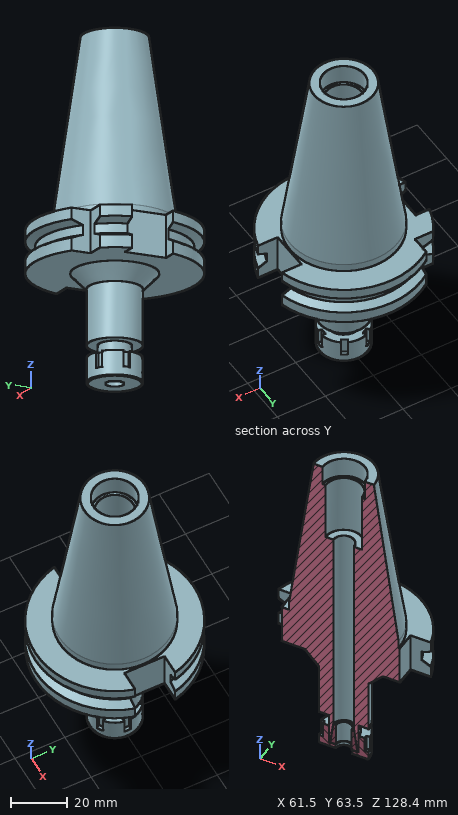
import cadquery as cq
import math


total_height = 128.4
flange_diameter = 63.5

taper_length = 68.5
taper_ratio = 7 / 24
gauge_diameter = 44.4
small_end_diameter = gauge_diameter - taper_length * taper_ratio
gauge_land = 3.2

flange_thickness = 15.9
groove_start = 4.2
groove_width = 6.9
groove_flank_height = 1.7
groove_floor_diameter = 56.5

drive_slot_width = 16.0
left_slot_floor = 25.0
right_slot_floor = 22.6
notch_x = 18.4
notch_y = 18.4

body_diameter = 20.0
cone_height = 5.8
cone_top_diameter = body_diameter + 2 * cone_height
body_length = 20.9
neck_diameter = 12.2
neck_gap = 4.6

nut_diameter = 20.0
nut_chamfer = 0.4
nut_lip = 1.9
nut_slot_count = 6
nut_slot_width = 2.6
nut_slot_length = 5.9
nut_slot_floor = 8.5

entry_bore_diameter = 17.0
entry_bore_depth = 8.0
stud_bore_diameter = 14.6
stud_bore_depth = 32.0
through_bore_diameter = 8.2

collet_length = 9.0
collet_half_angle = 8.0
collet_bore_diameter = 6.2
nut_opening_diameter = 6.7

flange_top = -gauge_land
flange_bottom = flange_top - flange_thickness
cone_bottom = flange_bottom - cone_height
body_bottom = cone_bottom - body_length
nut_top = body_bottom - neck_gap
nut_bottom = taper_length - total_height
neck_bottom = nut_bottom + nut_lip
collet_top = neck_bottom + collet_length

collet_top_diameter = through_bore_diameter
collet_bottom_diameter = collet_top_diameter + 2 * collet_length * math.tan(math.radians(collet_half_angle))


def cylinder(diameter, bottom, top):
    return cq.Workplane("XY").workplane(offset=bottom).circle(diameter / 2).extrude(top - bottom)


def turned(profile):
    """Revolve (diameter, height) points, closed along the axis, about Z."""
    points = [(diameter / 2, height) for diameter, height in profile]
    points = [(0, points[0][1])] + points + [(0, points[-1][1])]
    return cq.Workplane("XZ").polyline(points).close().revolve(360, (0, 0, 0), (0, 1, 0))


def box(x_min, x_max, y_min, y_max, z_min, z_max):
    size = (x_max - x_min, y_max - y_min, z_max - z_min)
    return cq.Workplane("XY").box(*size, centered=False).translate((x_min, y_min, z_min))


def make_flange_cuts():
    """Two unequal drive slots on the X axis and a corner notch, through the full flange."""
    rim = flange_diameter / 2
    half_width = drive_slot_width / 2
    left_slot = box(-rim, -left_slot_floor, -half_width, half_width, flange_bottom, flange_top)
    right_slot = box(right_slot_floor, rim, -half_width, half_width, flange_bottom, flange_top)
    notch = box(-rim, -notch_x, notch_y, rim, flange_bottom, flange_top)
    return left_slot.union(right_slot).union(notch)


def make_collet_envelope():
    return turned([(collet_bottom_diameter, neck_bottom), (collet_top_diameter, collet_top)])


def make_holder():
    groove_top = flange_top - groove_start
    groove_bottom = groove_top - groove_width
    outside = turned([
        (small_end_diameter, taper_length),
        (gauge_diameter, 0),
        (gauge_diameter, flange_top),
        (flange_diameter, flange_top),
        (flange_diameter, groove_top),
        (groove_floor_diameter, groove_top - groove_flank_height),
        (groove_floor_diameter, groove_bottom + groove_flank_height),
        (flange_diameter, groove_bottom),
        (flange_diameter, flange_bottom),
        (cone_top_diameter, flange_bottom),
        (body_diameter, cone_bottom),
        (body_diameter, body_bottom),
        (neck_diameter, body_bottom),
        (neck_diameter, neck_bottom),
    ])
    entry_bore = cylinder(entry_bore_diameter, taper_length - entry_bore_depth, taper_length)
    stud_bore = cylinder(stud_bore_diameter, taper_length - stud_bore_depth, taper_length)
    through_bore = cylinder(through_bore_diameter, neck_bottom, taper_length)
    holder = outside.cut(make_flange_cuts())
    holder = holder.cut(entry_bore).cut(stud_bore).cut(through_bore)
    return holder.cut(make_collet_envelope())


def make_nut():
    nut = cylinder(nut_diameter, nut_bottom, nut_top).faces("<Z").chamfer(nut_chamfer)
    nut = nut.cut(cylinder(neck_diameter, neck_bottom, nut_top))
    nut = nut.cut(cylinder(nut_opening_diameter, nut_bottom, neck_bottom))
    half_width = nut_slot_width / 2
    slot = box(nut_slot_floor, nut_diameter, -half_width, half_width, nut_top - nut_slot_length, nut_top)
    for index in range(nut_slot_count):
        nut = nut.cut(slot.rotate((0, 0, 0), (0, 0, 1), index * 360 / nut_slot_count))
    return nut


def make_collet():
    return make_collet_envelope().cut(cylinder(collet_bore_diameter, neck_bottom, collet_top))


holder = make_holder()
nut = make_nut()
collet = make_collet()

result = cq.Compound.makeCompound([holder.val(), nut.val(), collet.val()])